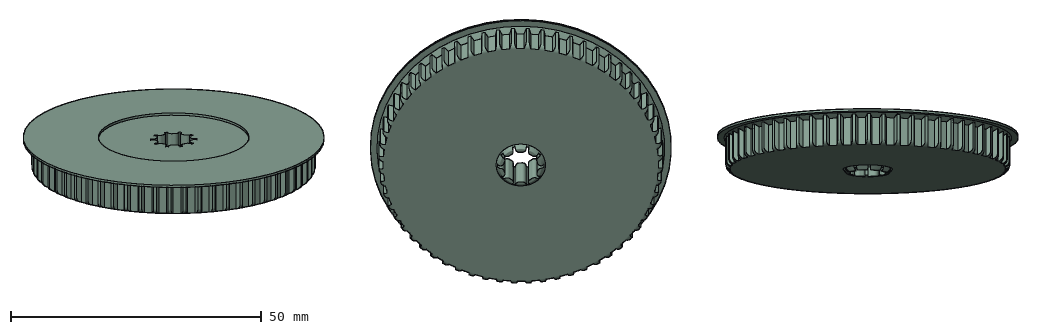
import cadquery as cq
import math

flange_radius = 30.0
flange_thickness = 0.5
recess_radius = 15.0
recess_depth = flange_thickness
rim_bottom = 6.85
overall_height = 7.6

tooth_count = 60
tip_radius = 28.3
root_radius = 27.4
gap_root_width = 1.5
gap_tip_width = 2.4
rim_edge_fillet = 1.1

shoulder_top_radius = 28.7
shoulder_height = 0.85

collar_top_radius = 4.9
collar_bottom_radius = 4.2
collar_edge_fillet = 0.2

bore_radius = 3.5
slot_count = 10
slot_tip_radius = 4.6
slot_width = 0.55
slot_edge_fillet = 0.8


def rim():
    """Pulley blank under the flange, with its lower outer edge rounded."""
    blank = cq.Workplane("XY").circle(tip_radius).extrude(-rim_bottom)
    return blank.faces("<Z").edges().fillet(rim_edge_fillet)


def tooth_gaps():
    """Trapezoidal gaps between the teeth, all around the rim."""
    flank_slope = (gap_tip_width - gap_root_width) / 2 / (tip_radius - root_radius)
    outer_half_width = gap_root_width / 2 + flank_slope * (flange_radius - root_radius)
    profile = [
        (root_radius, -gap_root_width / 2),
        (flange_radius, -outer_half_width),
        (flange_radius, outer_half_width),
        (root_radius, gap_root_width / 2),
    ]
    gap = (
        cq.Workplane("XY")
        .workplane(offset=-rim_bottom)
        .polyline(profile)
        .close()
        .extrude(rim_bottom - flange_thickness)
    )
    pitch_angle = 360 / tooth_count
    gaps = [
        gap.val().rotate(cq.Vector(0, 0, 0), cq.Vector(0, 0, 1), index * pitch_angle)
        for index in range(tooth_count)
    ]
    return cq.Workplane(cq.Compound.makeCompound(gaps))


def cone(top_radius, bottom_radius, top_depth, bottom_depth):
    """Solid of revolution narrowing downward between two depths."""
    profile = [
        (0, -top_depth),
        (top_radius, -top_depth),
        (bottom_radius, -bottom_depth),
        (0, -bottom_depth),
    ]
    return cq.Workplane("XZ").polyline(profile).close().revolve(360, (0, 0, 0), (0, 1, 0))


def splined_bore():
    """Round bore with radial slots whose inner corners are rounded."""
    bore = cq.Workplane("XY").circle(bore_radius).extrude(-overall_height)
    for index in range(slot_count // 2):
        slot = (
            cq.Workplane("XY")
            .rect(2 * slot_tip_radius, slot_width)
            .extrude(-overall_height)
            .rotate((0, 0, 0), (0, 0, 1), index * 360 / slot_count)
        )
        bore = bore.union(slot)
    corner_limit = (bore_radius + slot_tip_radius) / 2
    corners = [
        edge
        for edge in bore.edges("|Z").vals()
        if math.hypot(edge.Center().x, edge.Center().y) < corner_limit
    ]
    return bore.newObject(corners).fillet(slot_edge_fillet)


flange = cq.Workplane("XY").circle(flange_radius).extrude(-flange_thickness)
shoulder = cone(
    shoulder_top_radius, root_radius, flange_thickness, flange_thickness + shoulder_height
)
collar = cone(collar_top_radius, collar_bottom_radius, rim_bottom, overall_height)
collar = collar.faces("<Z").edges().fillet(collar_edge_fillet)
recess = cq.Workplane("XY").circle(recess_radius).extrude(-recess_depth)

toothed_rim = rim().cut(tooth_gaps())
body = toothed_rim.union(shoulder).union(flange).union(collar)
result = body.cut(recess).cut(splined_bore())